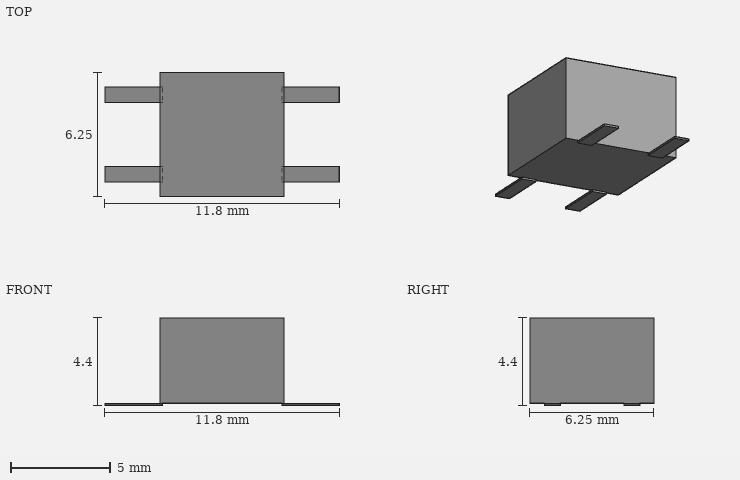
import cadquery as cq

overall_length = 11.8
overall_height = 4.4

housing_side = 6.25

lead_width = 0.8
lead_thickness = 0.1
lead_pitch = 4.0
lead_overlap = 0.12

housing_height = overall_height - lead_thickness
lead_length = (overall_length - housing_side) / 2 + lead_overlap
lead_center_x = (overall_length - lead_length) / 2


def make_housing():
    """Block standing on the top faces of the leads."""
    return (
        cq.Workplane("XY")
        .workplane(offset=lead_thickness)
        .rect(housing_side, housing_side)
        .extrude(housing_height)
    )


def make_lead(side_x, side_y):
    """Flat lead on the given X and Y sides (each -1 or 1), with its bottom at Z = 0."""
    return (
        cq.Workplane("XY")
        .center(side_x * lead_center_x, side_y * lead_pitch / 2)
        .rect(lead_length, lead_width)
        .extrude(lead_thickness)
    )


housing = make_housing()
leads = [make_lead(side_x, side_y) for side_x in (-1, 1) for side_y in (-1, 1)]

result = cq.Compound.makeCompound([housing.val(), *[lead.val() for lead in leads]])